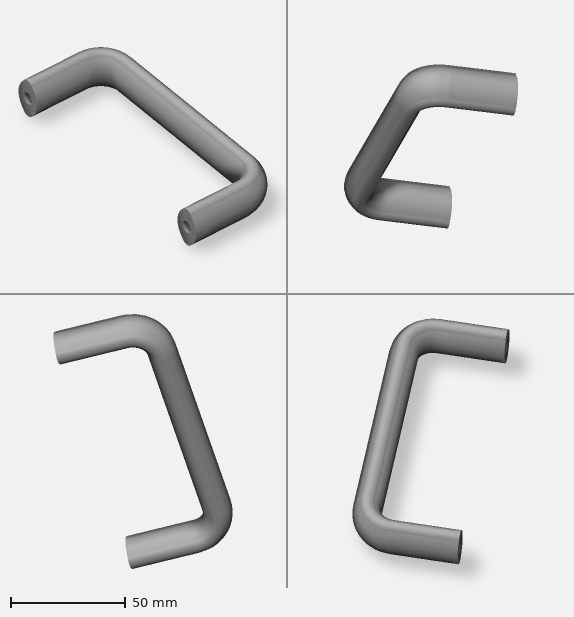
import cadquery as cq
import math

length = 125.0
reach = 50.0
bar_height = 20.0
bar_width = 13.0
bend_radius = 13.0

side_radius = 11.5
join_z = 8.1

hole_diameter = 4.9
mouth_diameter = 6.0
hole_depth = 15.0
drill_tip_angle = 118.0

leg_x = (length - bar_width) / 2
back_y = reach - bar_width / 2


def bar_section():
    """Section of the left leg, in the XZ plane."""
    half_width = bar_width / 2
    half_height = bar_height / 2
    join_x = half_width - side_radius + math.sqrt(side_radius**2 - join_z**2)
    return (
        cq.Workplane("XZ", origin=(-leg_x, 0, 0))
        .moveTo(join_x, -join_z)
        .threePointArc((half_width, 0), (join_x, join_z))
        .threePointArc((0, half_height), (-join_x, join_z))
        .threePointArc((-half_width, 0), (-join_x, -join_z))
        .threePointArc((0, -half_height), (join_x, -join_z))
        .close()
    )


def centre_line():
    """U-shaped path with a rounded bend at each back corner."""
    straight_x = leg_x - bend_radius
    straight_y = back_y - bend_radius
    mid_bend = bend_radius * math.sqrt(0.5)
    return (
        cq.Workplane("XY")
        .moveTo(-leg_x, 0)
        .lineTo(-leg_x, straight_y)
        .threePointArc((-straight_x - mid_bend, straight_y + mid_bend), (-straight_x, back_y))
        .lineTo(straight_x, back_y)
        .threePointArc((straight_x + mid_bend, straight_y + mid_bend), (leg_x, straight_y))
        .lineTo(leg_x, 0)
    )


def screw_hole(x):
    """Drilled hole along +Y with a 45 degree mouth chamfer and a conical tip."""
    hole_radius = hole_diameter / 2
    mouth_radius = mouth_diameter / 2
    chamfer = mouth_radius - hole_radius
    tip_length = hole_radius / math.tan(math.radians(drill_tip_angle / 2))
    return (
        cq.Workplane("XY")
        .polyline([
            (0, 0),
            (mouth_radius, 0),
            (hole_radius, chamfer),
            (hole_radius, hole_depth),
            (0, hole_depth + tip_length),
        ])
        .close()
        .revolve(360, (0, 0), (0, 1))
        .translate((x, 0, 0))
    )


result = bar_section().sweep(centre_line())
for hole_x in (-leg_x, leg_x):
    result = result.cut(screw_hole(hole_x))